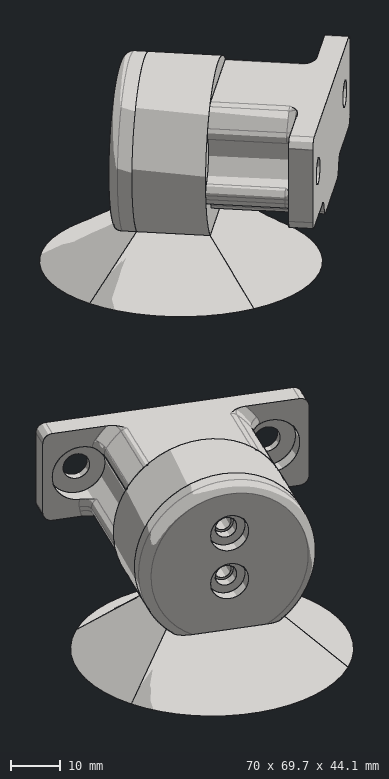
import cadquery as cq
import math

TURN = 40.0

DRUM_R = 18.55
DRUM_TOP = 44.05
DRUM_Z = DRUM_TOP - DRUM_R
FOOT_HEIGHT = 10.9
MIDDLE_HALF = 7.5
CAP_THICKNESS = 5.0
CAP_FACE_X = -MIDDLE_HALF - CAP_THICKNESS
EDGE_ROUND = 2.0

FOOT_R = 28.6
FRONT_CORNER_ANGLE = 57.5
SIDE_CORNER_ANGLE = 128.7

SCREW_HEIGHTS = (22.0, 33.0)
SCREW_HEAD_D = 8.0
SCREW_HEAD_DEPTH = 2.6
SCREW_CLEARANCE_D = 4.5
SCREW_PILOT_D = 3.5

PLATE_WIDTH = 56.0
PLATE_HEIGHT = 19.95
PLATE_TOP = 40.0
PLATE_BOTTOM = PLATE_TOP - PLATE_HEIGHT
PLATE_Z = PLATE_TOP - PLATE_HEIGHT / 2
PLATE_THICKNESS = 5.0
PLATE_BACK_X = 30.6
PLATE_FRONT_X = PLATE_BACK_X - PLATE_THICKNESS
MOUNT_Y = 20.0
MOUNT_HOLE_D = 5.5
MOUNT_HEAD_D = 12.0
MOUNT_HEAD_DEPTH = 3.0

KEEL_BOTTOM = 16.0
KEEL_TOP_HALF = 11.9
KEEL_BOTTOM_HALF = 10.1


def chord_half(height):
    """Half width of the drum circle at the given height."""
    return math.sqrt(DRUM_R ** 2 - (height - DRUM_Z) ** 2)


def rod(x_start, x_end, diameter, y, z):
    """Cylinder along X."""
    return (
        cq.Workplane("YZ", origin=(x_start, y, z))
        .circle(diameter / 2)
        .extrude(x_end - x_start)
    )


def drum_slice(x_start, x_end):
    return rod(x_start, x_end, 2 * DRUM_R, 0, DRUM_Z)


def cut_flat_underside(body):
    """Remove everything below the top of the foot."""
    size = 4 * FOOT_R
    below = cq.Workplane("XY").box(size, size, size, centered=(True, True, False))
    return body.cut(below.translate((0, 0, FOOT_HEIGHT - size)))


def place(body):
    return body.rotate((0, 0, 0), (0, 0, 1), TURN)


def make_cap():
    cap = drum_slice(CAP_FACE_X, -MIDDLE_HALF).faces("<X").edges().fillet(EDGE_ROUND)
    cap = cut_flat_underside(cap)
    for z in SCREW_HEIGHTS:
        cap = cap.cut(rod(CAP_FACE_X, -MIDDLE_HALF, SCREW_CLEARANCE_D, 0, z))
        cap = cap.cut(rod(CAP_FACE_X, CAP_FACE_X + SCREW_HEAD_DEPTH, SCREW_HEAD_D, 0, z))
    return place(cap)


def rim_point(angle):
    """Point on the foot's rim, with the angle in degrees."""
    return (FOOT_R * math.cos(math.radians(angle)), FOOT_R * math.sin(math.radians(angle)))


def make_foot():
    """Ruled transition from a round rim to the rectangle under the drum."""
    half_width = chord_half(FOOT_HEIGHT)
    corner_a = rim_point(FRONT_CORNER_ANGLE)
    corner_b = rim_point(SIDE_CORNER_ANGLE)
    corner_c = rim_point(FRONT_CORNER_ANGLE + 180)
    corner_d = rim_point(SIDE_CORNER_ANGLE + 180)
    rim = (
        cq.Workplane("XY")
        .moveTo(*corner_d)
        .threePointArc(rim_point(0), corner_a)
        .threePointArc(rim_point(90), corner_b)
        .threePointArc(rim_point(180), corner_c)
        .threePointArc(rim_point(270), corner_d)
        .close()
    )
    top = (
        cq.Workplane("XY", origin=(0, 0, FOOT_HEIGHT))
        .moveTo(MIDDLE_HALF, -half_width)
        .lineTo(MIDDLE_HALF, half_width)
        .lineTo(-MIDDLE_HALF, half_width)
        .lineTo(-MIDDLE_HALF, -half_width)
        .close()
    )
    return cq.Workplane(cq.Solid.makeLoft([rim.val(), top.val()], True))


def make_stand():
    """Middle drum slice and the foot that carries it."""
    stand = cut_flat_underside(drum_slice(-MIDDLE_HALF, MIDDLE_HALF)).union(make_foot())
    for z in SCREW_HEIGHTS:
        stand = stand.cut(rod(-MIDDLE_HALF, MIDDLE_HALF, SCREW_PILOT_D, 0, z))
    return place(stand)


def slab(x_start, x_end, width, height):
    """Block centred on the mounting plate's axis."""
    return (
        cq.Workplane("YZ", origin=(x_start, 0, PLATE_Z))
        .rect(width, height)
        .extrude(x_end - x_start)
    )


def make_arm():
    """Drum circle between two flats, scalloped for the mounting screws and flared at the plate."""
    arm = drum_slice(MIDDLE_HALF, PLATE_FRONT_X)
    arm = arm.intersect(slab(MIDDLE_HALF, PLATE_FRONT_X, PLATE_WIDTH, PLATE_HEIGHT))
    for side in (-1, 1):
        arm = arm.cut(rod(MIDDLE_HALF, PLATE_FRONT_X, MOUNT_HEAD_D, side * MOUNT_Y, PLATE_Z))
    arm = arm.edges("|X").fillet(EDGE_ROUND)

    oversize = slab(PLATE_FRONT_X, PLATE_BACK_X, PLATE_WIDTH, 2 * PLATE_HEIGHT)
    flared = oversize.union(arm)
    edge_slack = 0.1
    junction = cq.selectors.BoxSelector(
        (PLATE_FRONT_X - edge_slack, -MOUNT_Y, PLATE_BOTTOM - edge_slack),
        (PLATE_FRONT_X + edge_slack, MOUNT_Y, PLATE_TOP + edge_slack),
    )
    flared = flared.edges(junction).fillet(EDGE_ROUND)
    return flared.intersect(slab(MIDDLE_HALF, PLATE_FRONT_X, PLATE_WIDTH, PLATE_HEIGHT))


def make_keel():
    """Tapered rib under the arm and plate, with rounded lower edges."""
    return (
        cq.Workplane("YZ", origin=(MIDDLE_HALF, 0, 0))
        .moveTo(-KEEL_TOP_HALF, PLATE_BOTTOM)
        .lineTo(KEEL_TOP_HALF, PLATE_BOTTOM)
        .lineTo(KEEL_BOTTOM_HALF, KEEL_BOTTOM)
        .lineTo(-KEEL_BOTTOM_HALF, KEEL_BOTTOM)
        .close()
        .extrude(PLATE_BACK_X - MIDDLE_HALF)
        .edges("|X and <Z")
        .fillet(EDGE_ROUND)
    )


def make_bracket():
    """Mounting plate with its arm and keel."""
    plate = slab(PLATE_FRONT_X, PLATE_BACK_X, PLATE_WIDTH, PLATE_HEIGHT).edges("|X").fillet(EDGE_ROUND)
    bracket = plate.union(make_arm()).union(make_keel())

    for side in (-1, 1):
        root = cq.selectors.NearestToPointSelector((PLATE_FRONT_X, side * KEEL_TOP_HALF, PLATE_BOTTOM))
        bracket = bracket.edges("|X").edges(root).fillet(EDGE_ROUND)

    for side in (-1, 1):
        y = side * MOUNT_Y
        bracket = bracket.cut(rod(PLATE_FRONT_X, PLATE_BACK_X, MOUNT_HOLE_D, y, PLATE_Z))
        head_floor_x = PLATE_FRONT_X + MOUNT_HEAD_DEPTH
        bracket = bracket.cut(rod(MIDDLE_HALF, head_floor_x, MOUNT_HEAD_D, y, PLATE_Z))
    return place(bracket)


cap = make_cap()
stand = make_stand()
bracket = make_bracket()

result = cq.Compound.makeCompound([cap.val(), stand.val(), bracket.val()])